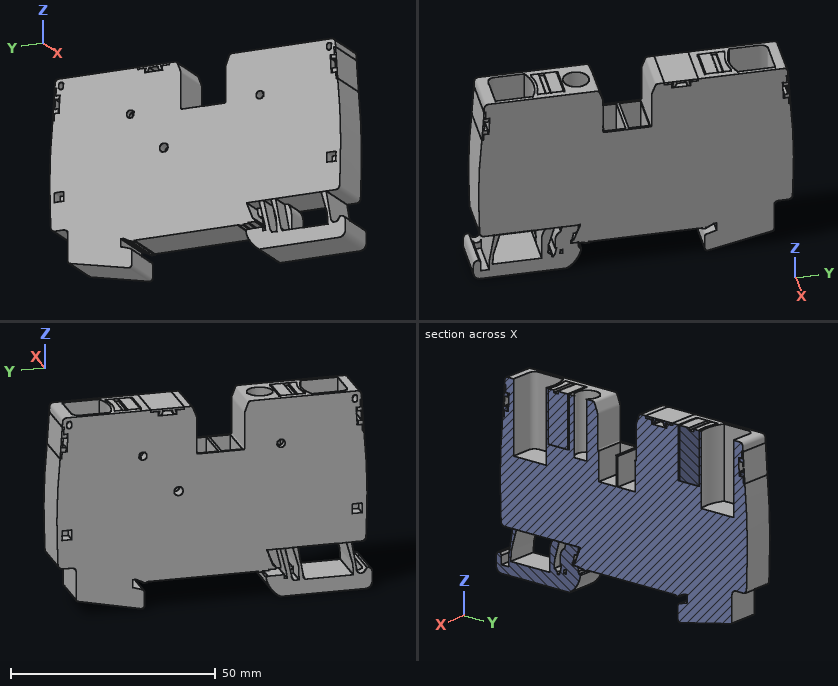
import cadquery as cq

WIDTH = 12.0
LEFT = -WIDTH / 2
TOP = 51.5
MID_Y = 0.65
HALF_LENGTH = 39.4
SHOULDER_Z = 12.4
RAIL_Z = 7.05
RECESS_Z = 39.0
RECESS_Y = (-7.6, 4.5)

END_TOP = (37.9, TOP)
END_BEND = (38.6, 40.9)
END_BULGE = (HALF_LENGTH, 25.3)
END_KNEE = (39.25, 17.0)
END_FOOT = (39.1, SHOULDER_Z)

ENTRY_OUTER = 35.0
ENTRY_CHORD = 25.6
ENTRY_CROWN = 24.35
ENTRY_HALF_WIDTH = 10.0 / 2
ENTRY_CORNER = 1.8
ENTRY_DEPTH = 20.0
LIP = 0.7
ACTUATOR_OUTER = 24.2
ACTUATOR_INNER = 17.45
ACTUATOR_WIDTH = 8.6
ACTUATOR_DEPTH = 14.4
ACTUATOR_GAP = 0.3
GROOVE_OUTER = 22.2
GROOVE_WIDTH = 1.3
GROOVE_DEPTH = 0.65

TEST_HOLE_Y = -13.1
TEST_HOLE_DIAMETER = 6.4
TEST_HOLE_DEPTH = 16.0
BRIDGE_SLOT_WIDTH = 10.8
BRIDGE_SLOT_LENGTH = 5.4
BRIDGE_SLOT_STARTS = (-7.2, -1.1)
BRIDGE_SLOT_DEPTH = 8.0

SIDE_HOLE_DEPTH = 3.2
SIGHT_HOLE_Y = 17.5
SIGHT_HOLE_Z = 39.7
SIGHT_HOLE_DIAMETER = 2.0
PEG_HOLE_CENTRE = (9.1, 29.8)
PEG_HOLE_DIAMETER = 2.25
KEY_SLOT_CENTRE = (36.3, 49.6)
KEY_SLOT_HEIGHT = 1.85
KEY_SLOT_WIDTH = 1.2
SQUARE_HOLE_CENTRE = (36.85, 21.1)
SQUARE_HOLE_SIZE = 2.5
SQUARE_HOLE_CORNER = 0.3

MARKER_Y = (7.7, 16.2)
MARKER_THICKNESS = 0.6
CLIP_CENTRE_Y = 11.9
CLIP_POCKET_LENGTH = 4.7
CLIP_POCKET_DEPTH = 1.1

FOOT_RIB_START = -0.8
VALLEY_Y = (-38.2, -36.1)
VALLEY_WEB = 2.6
VALLEY_POCKET_FLOOR = 2.4


def mirrored(side, point):
    """Turn (distance from MID_Y, Z) into (Y, Z) on the +Y (1) or -Y (-1) side."""
    return (MID_Y + side * point[0], point[1])


def plate(points, start=LEFT, end=WIDTH / 2):
    """Extrude a closed Y-Z polygon along X."""
    return cq.Workplane("YZ", origin=(start, 0, 0)).polyline(points).close().extrude(end - start)


def round_corners(body, corners):
    """Fillet edges parallel to X, given as (Y, Z, radius)."""
    reach = 0.04
    for y, z, radius in corners:
        box = cq.selectors.BoxSelector((-WIDTH, y - reach, z - reach), (WIDTH, y + reach, z + reach))
        body = body.edges("|X").edges(box).fillet(radius)
    return body


def left_face():
    """Workplane on the left side face, looking into the housing."""
    return cq.Workplane("YZ", origin=(LEFT, 0, 0))


def housing_blank():
    """Full-width outline: two towers, two shoulders and the fixed rail hook."""
    tower_flank_z = 48.6
    tower_setback = 1.1
    plus_tower_edge = RECESS_Y[1] + tower_setback
    minus_tower_edge = RECESS_Y[0] - tower_setback
    hook_side = 35.15
    hook_tip = 17.8
    blank = (
        left_face()
        .moveTo(*mirrored(1, END_TOP))
        .lineTo(*mirrored(1, END_BEND))
        .threePointArc(mirrored(1, END_BULGE), mirrored(1, END_KNEE))
        .lineTo(*mirrored(1, END_FOOT))
        .lineTo(hook_side, SHOULDER_Z)
        .lineTo(hook_side, 3.7)
        .lineTo(hook_tip, 0)
        .lineTo(hook_tip, 5.0)
        .lineTo(20.75, 5.9)
        .lineTo(20.75, 7.9)
        .lineTo(20.0, 7.9)
        .lineTo(18.35, RAIL_Z)
        .lineTo(-13.8, RAIL_Z)
        .lineTo(-13.8, 7.3)
        .lineTo(-15.5, 7.3)
        .lineTo(-15.5, 7.85)
        .lineTo(-15.0, 8.25)
        .lineTo(-13.3, SHOULDER_Z)
        .lineTo(*mirrored(-1, END_FOOT))
        .lineTo(*mirrored(-1, END_KNEE))
        .threePointArc(mirrored(-1, END_BULGE), mirrored(-1, END_BEND))
        .lineTo(*mirrored(-1, END_TOP))
        .lineTo(minus_tower_edge, TOP)
        .lineTo(RECESS_Y[0], tower_flank_z)
        .lineTo(RECESS_Y[0], RECESS_Z)
        .lineTo(RECESS_Y[1], RECESS_Z)
        .lineTo(RECESS_Y[1], tower_flank_z)
        .lineTo(plus_tower_edge, TOP)
        .close()
        .extrude(WIDTH)
    )
    corners = [
        (hook_side, SHOULDER_Z, 1.1),
        (hook_side, 3.7, 0.65),
        (hook_tip, 0, 0.8),
        (hook_tip, 5.0, 0.7),
        (minus_tower_edge, TOP, 0.8),
        (plus_tower_edge, TOP, 0.8),
        (RECESS_Y[0], tower_flank_z, 1.8),
        (RECESS_Y[1], tower_flank_z, 1.8),
        (RECESS_Y[0], RECESS_Z, 0.4),
        (RECESS_Y[1], RECESS_Z, 0.4),
    ]
    for side in (1, -1):
        corners.append((*mirrored(side, END_TOP), 1.05))
        corners.append((*mirrored(side, END_FOOT), 1.1))
    return round_corners(blank, corners)


def rail_pads():
    """Two shallow pads under the housing that bear on the rail."""
    pad_height = 0.25
    pads = []
    for near, far in ((-12.3, -11.1), (17.1, 18.1)):
        bottom = RAIL_Z - pad_height
        pads.append(plate([(near, bottom), (far, bottom), (far, RAIL_Z), (near, RAIL_Z)]))
    return pads


def wire_entry(side):
    """Prism with a curved inner wall and one rounded outer corner."""
    outer, _ = mirrored(side, (ENTRY_OUTER, TOP))
    chord, _ = mirrored(side, (ENTRY_CHORD, TOP))
    crown, _ = mirrored(side, (ENTRY_CROWN, TOP))
    entry = (
        cq.Workplane("XY", origin=(0, 0, TOP - ENTRY_DEPTH))
        .moveTo(-ENTRY_HALF_WIDTH, chord)
        .lineTo(-ENTRY_HALF_WIDTH, outer)
        .lineTo(ENTRY_HALF_WIDTH, outer)
        .lineTo(ENTRY_HALF_WIDTH, chord)
        .threePointArc((0, crown), (-ENTRY_HALF_WIDTH, chord))
        .close()
        .extrude(ENTRY_DEPTH)
    )
    outer_edge = ">Y" if side > 0 else "<Y"
    return entry.faces(outer_edge).edges("<X").fillet(ENTRY_CORNER)


def entry_lip(side):
    """Cylinder concentric with the curved entry wall, larger by the lip."""
    sagitta = ENTRY_CHORD - ENTRY_CROWN
    radius = (ENTRY_HALF_WIDTH**2 + sagitta**2) / (2 * sagitta)
    centre_y, _ = mirrored(side, (ENTRY_CROWN + radius, TOP))
    return (
        cq.Workplane("XY", origin=(0, centre_y, TOP - ENTRY_DEPTH))
        .circle(radius + LIP)
        .extrude(ENTRY_DEPTH)
    )


def actuator_block(side, inner):
    """Rectangular prism hollowed at its outer end around the entry lip."""
    centre_y, _ = mirrored(side, ((ACTUATOR_OUTER + inner) / 2, TOP))
    block = (
        cq.Workplane("XY", origin=(0, centre_y, TOP - ACTUATOR_DEPTH))
        .rect(ACTUATOR_WIDTH, ACTUATOR_OUTER - inner)
        .extrude(ACTUATOR_DEPTH)
    )
    return block.cut(entry_lip(side))


def make_actuator(side):
    """Push-in actuator with a screwdriver groove across its top."""
    groove_y, _ = mirrored(side, (GROOVE_OUTER - GROOVE_WIDTH / 2, TOP))
    groove = (
        cq.Workplane("XY", origin=(0, groove_y, TOP - GROOVE_DEPTH))
        .rect(ACTUATOR_WIDTH, GROOVE_WIDTH)
        .extrude(GROOVE_DEPTH)
    )
    return actuator_block(side, ACTUATOR_INNER + ACTUATOR_GAP).cut(groove)


def end_strip(side):
    """Seat of an end marker: a thin strip just inside the end face."""
    points = [(37.6, 49.2), (HALF_LENGTH, 49.2), (HALF_LENGTH, 41.0), (38.2, 41.0)]
    return plate([mirrored(side, point) for point in points])


def end_clip_pocket(side):
    """Through-window behind an end marker that takes its clip legs."""
    points = [(37.8, 47.25), (36.6, 47.25), (36.85, 42.7), (38.1, 42.7)]
    return plate([mirrored(side, point) for point in points])


def make_end_marker(side, blank):
    """Strip flush with the end face, with two clip legs."""
    upper_leg = [(37.9, 47.25), (36.8, 47.25), (36.85, 46.3), (37.9, 46.3)]
    lower_leg = [(38.2, 43.8), (37.1, 43.8), (37.1, 42.7), (38.2, 42.7)]
    marker = end_strip(side).intersect(blank)
    for leg in (upper_leg, lower_leg):
        marker = marker.union(plate([mirrored(side, point) for point in leg]))
    return marker


def top_strip():
    """Seat of the top marker, and the marker strip itself."""
    under = TOP - MARKER_THICKNESS
    return plate([(MARKER_Y[0], under), (MARKER_Y[1], under), (MARKER_Y[1], TOP), (MARKER_Y[0], TOP)])


def top_clip_pocket():
    """Through-window below the top marker that takes its clip legs."""
    ceiling = TOP - MARKER_THICKNESS
    floor = ceiling - CLIP_POCKET_DEPTH
    near = CLIP_CENTRE_Y - CLIP_POCKET_LENGTH / 2
    far = CLIP_CENTRE_Y + CLIP_POCKET_LENGTH / 2
    return plate([(near, floor), (far, floor), (far, ceiling), (near, ceiling)])


def make_top_marker():
    """Strip flush with the tower top, with two clip legs splayed outward."""
    root = TOP - MARKER_THICKNESS
    leg_profile = [(2.0, root), (1.1, root), (1.5, root - 1.0), (2.3, root - 1.0)]
    marker = top_strip()
    for side in (1, -1):
        marker = marker.union(plate([(CLIP_CENTRE_Y + side * offset, z) for offset, z in leg_profile]))
    return marker


def side_holes():
    """Blind holes sunk into the left side face."""
    holes = left_face().center(*PEG_HOLE_CENTRE).circle(PEG_HOLE_DIAMETER / 2).extrude(SIDE_HOLE_DEPTH)
    for side in (1, -1):
        sight = left_face().center(*mirrored(side, (SIGHT_HOLE_Y, SIGHT_HOLE_Z)))
        key = left_face().center(*mirrored(side, KEY_SLOT_CENTRE))
        square = left_face().center(*mirrored(side, SQUARE_HOLE_CENTRE))
        holes = (
            holes
            .add(sight.circle(SIGHT_HOLE_DIAMETER / 2).extrude(SIDE_HOLE_DEPTH))
            .add(key.slot2D(KEY_SLOT_HEIGHT, KEY_SLOT_WIDTH, 90).extrude(SIDE_HOLE_DEPTH))
            .add(
                square.rect(SQUARE_HOLE_SIZE, SQUARE_HOLE_SIZE)
                .extrude(SIDE_HOLE_DEPTH)
                .edges("|X and >Z")
                .fillet(SQUARE_HOLE_CORNER)
            )
        )
    return holes


def bridge_slots():
    """Two rectangular pockets in the recess floor."""
    return (
        cq.Workplane("XY", origin=(0, 0, RECESS_Z - BRIDGE_SLOT_DEPTH))
        .pushPoints([(0, start + BRIDGE_SLOT_LENGTH / 2) for start in BRIDGE_SLOT_STARTS])
        .rect(BRIDGE_SLOT_WIDTH, BRIDGE_SLOT_LENGTH)
        .extrude(BRIDGE_SLOT_DEPTH)
    )


def test_hole():
    """Round test-plug hole in the -Y tower."""
    return (
        cq.Workplane("XY", origin=(0, TEST_HOLE_Y, TOP - TEST_HOLE_DEPTH))
        .circle(TEST_HOLE_DIAMETER / 2)
        .extrude(TEST_HOLE_DEPTH)
    )


def make_housing(blank):
    """Blank with every seat, pocket and hole removed."""
    body = blank.cut(top_strip()).cut(top_clip_pocket()).cut(bridge_slots()).cut(test_hole())
    for pad in rail_pads():
        body = body.union(pad)
    for side in (1, -1):
        body = body.cut(end_strip(side)).cut(end_clip_pocket(side))
        body = body.cut(wire_entry(side)).cut(actuator_block(side, ACTUATOR_INNER))
    for hole in side_holes().vals():
        body = body.cut(cq.Workplane(hole))
    return body


def foot_frame():
    """Full-width base with three slanted arms and a release lip at its -Y end."""
    lip_end = -40.05
    lip_top = 5.5
    frame = (
        left_face()
        .moveTo(-13.05, 5.4)
        .threePointArc((-14.2, 2.4), (-16.65, 0))
        .lineTo(lip_end, 0)
        .lineTo(lip_end, lip_top)
        .lineTo(-38.7, lip_top)
        .lineTo(VALLEY_Y[0], 4.8)
        .threePointArc((-37.2, 4.2), (VALLEY_Y[1], 5.0))
        .lineTo(-34.8, SHOULDER_Z)
        .lineTo(-33.5, SHOULDER_Z)
        .lineTo(-35.1, 6.7)
        .lineTo(-35.2, 3.9)
        .lineTo(-23.0, 3.9)
        .lineTo(-22.6, 4.65)
        .lineTo(-21.15, SHOULDER_Z)
        .lineTo(-19.9, SHOULDER_Z)
        .lineTo(-21.3, 7.45)
        .lineTo(-21.5, 3.9)
        .lineTo(-20.1, 3.9)
        .lineTo(-19.6, 4.8)
        .lineTo(-17.95, SHOULDER_Z)
        .lineTo(-16.65, SHOULDER_Z)
        .lineTo(-18.2, 6.3)
        .lineTo(-18.4, 4.65)
        .lineTo(-17.7, 4.65)
        .lineTo(-17.7, 5.6)
        .lineTo(-13.5, 5.6)
        .close()
        .extrude(WIDTH)
    )
    return round_corners(frame, [(lip_end, 0, 1.8), (lip_end, lip_top, 1.2)])


def valley_pocket():
    """Pocket behind the release lip, leaving a web at the left side face."""
    points = [
        (VALLEY_Y[0], VALLEY_POCKET_FLOOR),
        (VALLEY_Y[1], VALLEY_POCKET_FLOOR),
        (VALLEY_Y[1], 5.0),
        (VALLEY_Y[0], 5.0),
    ]
    return plate(points, start=LEFT + VALLEY_WEB)


def latch_rib():
    """Partial-width latch that hugs the housing nose and backs the first arm."""
    return (
        cq.Workplane("YZ", origin=(FOOT_RIB_START, 0, 0))
        .moveTo(-13.8, SHOULDER_Z)
        .lineTo(-13.85, 11.2)
        .lineTo(-14.25, 10.25)
        .lineTo(-15.05, 10.1)
        .lineTo(-15.3, 8.6)
        .lineTo(-15.7, 7.85)
        .lineTo(-15.7, 7.3)
        .lineTo(-13.85, 7.3)
        .lineTo(-13.8, 6.2)
        .lineTo(-13.5, 5.6)
        .lineTo(-18.35, 5.6)
        .lineTo(-18.35, 6.4)
        .lineTo(-19.6, 6.4)
        .lineTo(-19.6, 8.9)
        .threePointArc((-19.15, 10.3), (-18.1, 11.2))
        .lineTo(-17.8, SHOULDER_Z)
        .close()
        .extrude(WIDTH / 2 - FOOT_RIB_START)
    )


def arm_rib():
    """Partial-width rib that stiffens the middle arm."""
    return (
        cq.Workplane("YZ", origin=(FOOT_RIB_START, 0, 0))
        .moveTo(-20.35, SHOULDER_Z)
        .lineTo(-22.0, SHOULDER_Z)
        .threePointArc((-22.75, 11.1), (-23.0, 9.6))
        .lineTo(-23.0, 3.6)
        .lineTo(-20.35, 3.6)
        .lineTo(-20.4, 4.6)
        .lineTo(-21.4, 5.3)
        .lineTo(-21.4, 7.45)
        .close()
        .extrude(WIDTH / 2 - FOOT_RIB_START)
    )


def make_foot():
    """Sprung rail foot that meets the underside of the -Y shoulder."""
    return foot_frame().cut(valley_pocket()).union(latch_rib()).union(arm_rib())


housing_outline = housing_blank()
housing = make_housing(housing_outline)
foot = make_foot()
top_marker = make_top_marker()
end_markers = [make_end_marker(side, housing_outline) for side in (1, -1)]
actuators = [make_actuator(side) for side in (1, -1)]

result = cq.Compound.makeCompound(
    [
        housing.solids().val(),
        foot.solids().val(),
        top_marker.solids().val(),
        *[marker.solids().val() for marker in end_markers],
        *[actuator.solids().val() for actuator in actuators],
    ]
)